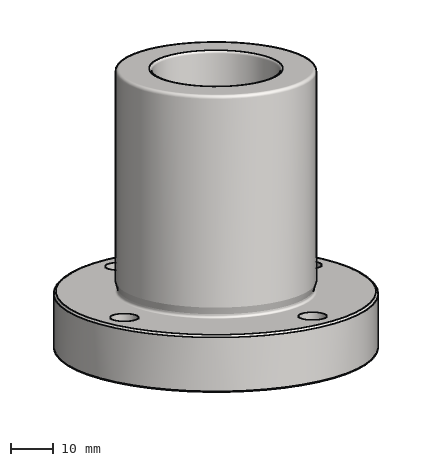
import cadquery as cq
import math

flange_radius = 37.9
flange_height = 13.9
total_height = 67.9
sleeve_radius = 23.5

flange_top_chamfer = 0.5
flange_bottom_chamfer = 0.3
sleeve_top_fillet = 0.8

undercut_depth = 0.5
undercut_height = 2.65
undercut_fillet = 0.6
undercut_land = 0.3

bore_radius = 15.0
liner_thickness = 0.6
liner_radius = bore_radius + liner_thickness

hole_count = 4
hole_diameter = 6.7
hole_circle_radius = 31.05


def make_housing():
    """Turn the flanged sleeve, then drill the flange."""
    neck_radius = sleeve_radius - undercut_depth
    fillet_top = flange_height + undercut_fillet
    fillet_offset = undercut_fillet * (1 - math.sqrt(0.5))
    round_offset = sleeve_top_fillet * (1 - math.sqrt(0.5))
    body = (
        cq.Workplane("XZ")
        .moveTo(liner_radius, 0)
        .lineTo(flange_radius - flange_bottom_chamfer, 0)
        .lineTo(flange_radius, flange_bottom_chamfer)
        .lineTo(flange_radius, flange_height - flange_top_chamfer)
        .lineTo(flange_radius - flange_top_chamfer, flange_height)
        .lineTo(neck_radius + undercut_fillet, flange_height)
        .threePointArc(
            (neck_radius + fillet_offset, flange_height + fillet_offset),
            (neck_radius, fillet_top),
        )
        .lineTo(neck_radius, fillet_top + undercut_land)
        .lineTo(sleeve_radius, flange_height + undercut_height)
        .lineTo(sleeve_radius, total_height - sleeve_top_fillet)
        .threePointArc(
            (sleeve_radius - round_offset, total_height - round_offset),
            (sleeve_radius - sleeve_top_fillet, total_height),
        )
        .lineTo(liner_radius, total_height)
        .close()
        .revolve(360, (0, 0, 0), (0, 1, 0))
    )
    holes = (
        cq.Workplane("XY")
        .polarArray(hole_circle_radius, 0, 360, hole_count)
        .circle(hole_diameter / 2)
        .extrude(flange_height)
    )
    return body.cut(holes).solids()


def make_liner():
    """Turn the liner; a quarter round joins the bore to each end."""
    round_offset = liner_thickness * (1 - math.sqrt(0.5))
    mid_radius = bore_radius + round_offset
    return (
        cq.Workplane("XZ")
        .moveTo(liner_radius, 0)
        .lineTo(liner_radius, total_height)
        .threePointArc(
            (mid_radius, total_height - round_offset),
            (bore_radius, total_height - liner_thickness),
        )
        .lineTo(bore_radius, liner_thickness)
        .threePointArc((mid_radius, round_offset), (liner_radius, 0))
        .close()
        .revolve(360, (0, 0, 0), (0, 1, 0))
    )


housing = make_housing()
liner = make_liner()

result = cq.Compound.makeCompound([housing.val(), liner.val()])